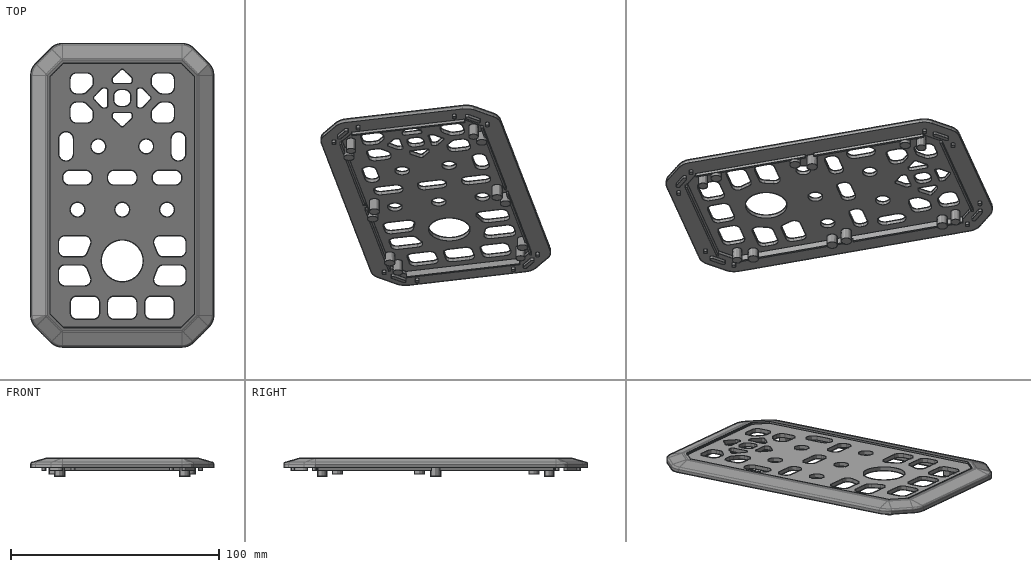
import cadquery as cq
import math

LENGTH_X = 88.0
LENGTH_Y = 146.0
FRAME_HEIGHT = 4.5

BEVEL_REACH = 8.0
CREST_X = LENGTH_X - 2 * BEVEL_REACH
CREST_Y = LENGTH_Y - 2 * BEVEL_REACH
CORNER_CUT = 7.35
SLOPE_ANGLE = 16.0
CREST_BLEND = 0.8
RIM_RADIUS = 1.05

LEDGE_WIDTH = 1.35
END_STEP_WIDTH = 0.4
END_STEP_TOP = 4.0
PANEL_TOP = 3.6
PANEL_THICKNESS = 2.0
PANEL_BOTTOM = PANEL_TOP - PANEL_THICKNESS

RIB_DEPTH = 1.5
RIB_INSET = 0.9
RIB_WIDTH = 0.9
RIB_GAP = 4.1
DIAGONAL_RIB_START = (34.15, 62.55)
DIAGONAL_RIB_END = (29.7, 67.0)
DIAGONAL_RIB_WIDTH = 1.9

PIN_DIAMETER = 1.9
PIN_SPOTS = [(37.65, 58.3), (23.6, 68.5)]
PEG_X = 30.1
PEG_DEPTH = 4.3
MIDDLE_PEG_DIAMETER = 5.0
END_PEG_DIAMETER = 4.5
END_PEG_Y = 54.5
STOP_DIAMETER = 5.0
STOP_DEPTH = 3.2
STOP_X = 32.6
STOP_ROWS = [47.2, -7.8, -47.2]

KEY_SMALL = 7.0
KEY_LONG = 14.0
KEY_FILLET = 3.0
COLUMN_X = 21.5

PAD_Y = 46.75
PAD_CENTER_SIZE = 8.0
ARROW_BASE = 7.0
ARROW_SHOULDER = 9.65
ARROW_TIP = 14.2
ARROW_HALF_WIDTH = 4.7
ARROW_FILLET = 1.0

SOFT_KEY_INNER_X = 14.0
SOFT_KEY_OUTER_X = 25.0
SOFT_KEY_CUT = 4.0

SIDE_KEY_X = 27.0
ROUND_KEY_X = 11.5
SIDE_KEY_Y = 23.5
PILL_ROW_Y = 8.45
ROUND_ROW_Y = -6.9

WHEEL_Y = -31.5
WHEEL_DIAMETER = 20.0
WING_OUTER_X = 30.6
WING_WIDE_X = 13.7
WING_NARROW_X = 17.6

NEAR_KEY = 2.0
FAR_KEY = 12.0

BOTTOM_ROW_Y = -54.0
BOTTOM_KEY_HEIGHT = 11.0
BOTTOM_KEY_X = 17.9

SIGNS = (1, -1)


def octagon(inset=0.0):
    """Corner points of the crest octagon moved inwards, counter-clockwise."""
    half_x = CREST_X / 2 - inset
    half_y = CREST_Y / 2 - inset
    cut = CORNER_CUT - inset * (2 - math.sqrt(2))
    return [
        (half_x, cut - half_y), (half_x, half_y - cut),
        (half_x - cut, half_y), (cut - half_x, half_y),
        (-half_x, half_y - cut), (-half_x, cut - half_y),
        (cut - half_x, -half_y), (half_x - cut, -half_y),
    ]


def prism(points, bottom, top):
    return cq.Workplane("XY").workplane(offset=bottom).polyline(points).close().extrude(top - bottom)


def cylinder(x, y, diameter, bottom, top):
    base = cq.Workplane("XY").workplane(offset=bottom).center(x, y)
    return base.circle(diameter / 2).extrude(top - bottom)


def frame_profile(plane):
    """Bevel cross-section: local x points outwards from the crest, local y is up."""
    slope = math.radians(SLOPE_ANGLE)
    blend_z = FRAME_HEIGHT - CREST_BLEND * math.tan(slope / 2)
    rim_x = BEVEL_REACH - RIM_RADIUS * (1 - math.sin(slope))
    rim_z = blend_z - (rim_x - CREST_BLEND) * math.tan(slope)
    wall_z = rim_z - RIM_RADIUS * math.cos(slope)
    return (
        cq.Workplane(plane)
        .lineTo(BEVEL_REACH, 0)
        .lineTo(BEVEL_REACH, wall_z)
        .tangentArcPoint((rim_x, rim_z), relative=False)
        .lineTo(CREST_BLEND, blend_z)
        .tangentArcPoint((0, FRAME_HEIGHT), relative=False)
        .close()
    )


def frame():
    """Octagonal core with a straight bevel on each side and a conical bevel on each corner."""
    points = octagon()
    turn = 360 / len(points)
    body = prism(points, 0, FRAME_HEIGHT)
    for index, start in enumerate(points):
        end = points[(index + 1) % len(points)]
        run_x = end[0] - start[0]
        run_y = end[1] - start[1]
        plane = cq.Plane(origin=(*start, 0), xDir=(run_y, -run_x, 0), normal=(-run_x, -run_y, 0))
        body = body.union(frame_profile(plane).extrude(-math.hypot(run_x, run_y)))
        body = body.union(frame_profile(plane).revolve(turn, (0, 0), (0, -1)))
    return body


def panel_recesses():
    """Stepped recess above the panel and the hollow below it."""
    upper = prism(octagon(LEDGE_WIDTH), PANEL_TOP, FRAME_HEIGHT)
    step_y = CREST_Y / 2 - LEDGE_WIDTH - END_STEP_WIDTH / 2
    step_spots = [(0, s * step_y) for s in SIGNS]
    steps = cq.Workplane("XY").workplane(offset=PANEL_TOP).pushPoints(step_spots)
    steps = steps.rect(CREST_X, END_STEP_WIDTH).extrude(END_STEP_TOP - PANEL_TOP)
    lower = prism(octagon(RIB_INSET + RIB_WIDTH), 0, PANEL_BOTTOM)
    return upper.cut(steps).union(lower)


def straight_ribs():
    """Ribs along the four straight sides; the long ones are split at the middle pegs."""
    outer_x = CREST_X / 2 - RIB_INSET
    outer_y = CREST_Y / 2 - RIB_INSET
    rib_end_x = outer_x - CORNER_CUT
    rib_end_y = outer_y - CORNER_CUT
    center_x = outer_x - RIB_WIDTH / 2
    center_y = outer_y - RIB_WIDTH / 2
    half_rib = rib_end_y - RIB_GAP / 2
    half_rib_y = (rib_end_y + RIB_GAP / 2) / 2
    end_spots = [(0, s * center_y) for s in SIGNS]
    side_spots = [(sx * center_x, sy * half_rib_y) for sx in SIGNS for sy in SIGNS]
    end_ribs = cq.Workplane("XY").pushPoints(end_spots).rect(2 * rib_end_x, RIB_WIDTH)
    end_ribs = end_ribs.extrude(-RIB_DEPTH)
    side_ribs = cq.Workplane("XY").pushPoints(side_spots).rect(RIB_WIDTH, half_rib)
    return end_ribs.union(side_ribs.extrude(-RIB_DEPTH))


def diagonal_rib(sign_x, sign_y):
    (x1, y1), (x2, y2) = DIAGONAL_RIB_START, DIAGONAL_RIB_END
    length = math.hypot(x2 - x1, y2 - y1) + DIAGONAL_RIB_WIDTH
    angle = math.degrees(math.atan2(sign_y * (y2 - y1), sign_x * (x2 - x1)))
    return (
        cq.Workplane("XY")
        .center(sign_x * (x1 + x2) / 2, sign_y * (y1 + y2) / 2)
        .slot2D(length, DIAGONAL_RIB_WIDTH, angle)
        .extrude(-RIB_DEPTH)
    )


def peg(x, y, diameter, depth):
    """Peg hanging from the underside of the panel."""
    return cylinder(x, y, diameter, -depth, PANEL_BOTTOM)


def add_underside(body):
    """Ribs, pegs, stops and pins, mirrored about both centre planes where they repeat."""
    body = body.union(straight_ribs())
    for sx in SIGNS:
        body = body.union(peg(sx * PEG_X, 0, MIDDLE_PEG_DIAMETER, PEG_DEPTH))
        for y in STOP_ROWS:
            body = body.union(peg(sx * STOP_X, y, STOP_DIAMETER, STOP_DEPTH))
        for sy in SIGNS:
            body = body.union(diagonal_rib(sx, sy))
            body = body.union(peg(sx * PEG_X, sy * END_PEG_Y, END_PEG_DIAMETER, PEG_DEPTH))
            for x, y in PIN_SPOTS:
                body = body.union(cylinder(sx * x, sy * y, PIN_DIAMETER, -RIB_DEPTH, 0))
    return body


def key(points, fillet):
    """Cutter for one key opening with rounded corners."""
    return prism(points, PANEL_BOTTOM, PANEL_TOP).edges("|Z").fillet(fillet)


def box_key(x, y, width, height):
    points = [
        (x - width / 2, y - height / 2), (x + width / 2, y - height / 2),
        (x + width / 2, y + height / 2), (x - width / 2, y + height / 2),
    ]
    return key(points, KEY_FILLET)


def round_key(x, y, diameter):
    return cylinder(x, y, diameter, PANEL_BOTTOM, PANEL_TOP)


def direction_pad():
    """Rounded-square centre key, four arrow keys and four soft keys around them."""
    arrow_points = [
        (-ARROW_HALF_WIDTH, ARROW_BASE), (ARROW_HALF_WIDTH, ARROW_BASE),
        (ARROW_HALF_WIDTH, ARROW_SHOULDER), (0, ARROW_TIP), (-ARROW_HALF_WIDTH, ARROW_SHOULDER),
    ]
    arrow = key(arrow_points, ARROW_FILLET)
    cutters = [box_key(0, PAD_Y, PAD_CENTER_SIZE, PAD_CENTER_SIZE)]
    for angle in (0, 90, 180, 270):
        cutters.append(arrow.rotate((0, 0, 0), (0, 0, 1), angle).translate((0, PAD_Y, 0)))
    for sx in SIGNS:
        for sy in SIGNS:
            points = [
                (SOFT_KEY_INNER_X + SOFT_KEY_CUT, NEAR_KEY), (SOFT_KEY_OUTER_X, NEAR_KEY),
                (SOFT_KEY_OUTER_X, FAR_KEY), (SOFT_KEY_INNER_X, FAR_KEY),
                (SOFT_KEY_INNER_X, NEAR_KEY + SOFT_KEY_CUT),
            ]
            cutters.append(key([(sx * x, PAD_Y + sy * y) for x, y in points], KEY_FILLET))
    return cutters


def middle_keys():
    """Side slots, round keys and the row of pill keys."""
    cutters = []
    for sx in SIGNS:
        slot = cq.Workplane("XY").workplane(offset=PANEL_BOTTOM).center(sx * SIDE_KEY_X, SIDE_KEY_Y)
        cutters.append(slot.slot2D(KEY_LONG, KEY_SMALL, 90).extrude(PANEL_THICKNESS))
        cutters.append(round_key(sx * ROUND_KEY_X, SIDE_KEY_Y, KEY_SMALL))
    for x in (-COLUMN_X, 0, COLUMN_X):
        cutters.append(box_key(x, PILL_ROW_Y, KEY_LONG, KEY_SMALL))
        cutters.append(round_key(x, ROUND_ROW_Y, KEY_SMALL))
    return cutters


def lower_keys():
    """Wheel opening, four wing keys beside it and the bottom row."""
    cutters = [round_key(0, WHEEL_Y, WHEEL_DIAMETER)]
    for sx in SIGNS:
        for sy in SIGNS:
            points = [
                (WING_OUTER_X, NEAR_KEY), (WING_OUTER_X, FAR_KEY),
                (WING_WIDE_X, FAR_KEY), (WING_NARROW_X, NEAR_KEY),
            ]
            cutters.append(key([(sx * x, WHEEL_Y + sy * y) for x, y in points], KEY_FILLET))
    for x in (-BOTTOM_KEY_X, 0, BOTTOM_KEY_X):
        cutters.append(box_key(x, BOTTOM_ROW_Y, KEY_LONG, BOTTOM_KEY_HEIGHT))
    return cutters


result = add_underside(frame().cut(panel_recesses()))
for opening in direction_pad() + middle_keys() + lower_keys():
    result = result.cut(opening)